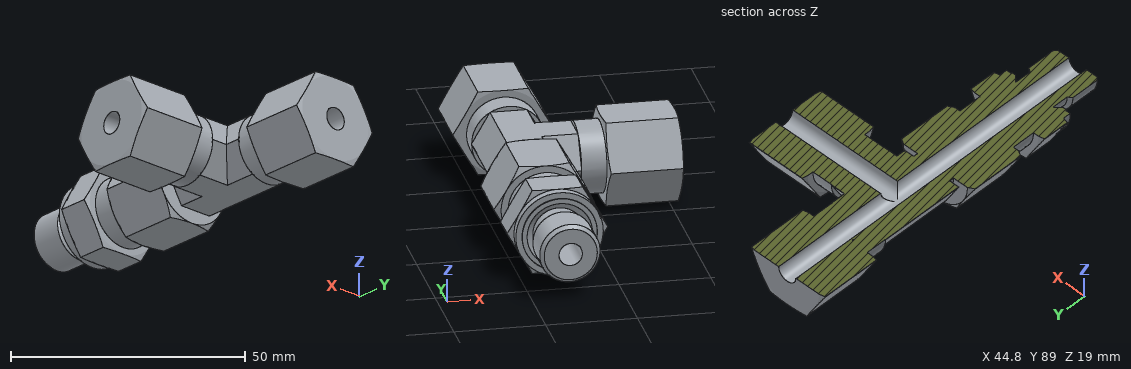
import cadquery as cq
import math


nut_flats = 19.0
collar_diameter = 16.0
body_flats = 14.0
neck_diameter = 10.85
relief_diameter = 11.1
thread_diameter = 13.2
flange_diameter = nut_flats
seal_diameter = 16.4
recess_diameter = 14.2
bore_diameter = 5.1

shallow_angle = 12
steep_angle = 30

port_body_end = 11.9
port_nut_start = 17.4
port_end = 33.8

body_bottom = -10.5
swivel_top = -11.6
swivel_bottom = -27.3
adapter_top = -33.4
adapter_bottom = -41.1
flange_face = -43.1
seal_height = 0.3
seal_face = flange_face - seal_height
recess_depth = (recess_diameter - relief_diameter) / 2
relief_end = -46.2
thread_start = -46.9
run_end = -55.15
thread_chamfer = 0.8


def cylinder(diameter, start, end):
    """Round bar along Y between two positions, start below end."""
    return cq.Workplane("XZ", origin=(0, end, 0)).circle(diameter / 2).extrude(end - start)


def turned(points):
    """Solid of revolution about the Y axis from (radius, y) points."""
    return cq.Workplane("XY").polyline(points).close().revolve(360, (0, 0), (0, 1))


def hexagon(flats, start, end):
    """Hexagonal bar along Y with two flats facing up and down."""
    corner_diameter = flats / math.cos(math.pi / 6)
    return cq.Workplane("XZ", origin=(0, end, 0)).polygon(6, corner_diameter).extrude(end - start)


def chamfered_hexagon(start, end, angle):
    """Nut-sized hexagon with its corners turned to a cone at both ends."""
    face_radius = nut_flats / 2
    outer_radius = nut_flats
    drop = (outer_radius - face_radius) * math.tan(math.radians(angle))
    envelope_low = turned([(0, start), (face_radius, start), (outer_radius, start + drop),
                           (outer_radius, end), (0, end)])
    envelope_high = turned([(0, start), (outer_radius, start), (outer_radius, end - drop),
                            (face_radius, end), (0, end)])
    return hexagon(nut_flats, start, end).intersect(envelope_low).intersect(envelope_high)


def port():
    """Body arm, collar and nut of one tube port, pointing along +Y."""
    arm = hexagon(body_flats, 0, port_body_end)
    collar = cylinder(collar_diameter, port_body_end, port_nut_start)
    nut = chamfered_hexagon(port_nut_start, port_end, shallow_angle)
    return arm.union(collar).union(nut)


def swivel_side():
    """Lower body arm, neck, swivel nut and the collar below it."""
    arm = hexagon(body_flats, body_bottom, 0)
    neck = cylinder(neck_diameter, swivel_top, body_bottom)
    nut = chamfered_hexagon(swivel_bottom, swivel_top, steep_angle)
    collar = cylinder(collar_diameter, adapter_top, swivel_bottom)
    return arm.union(neck).union(nut).union(collar)


def threaded_adapter():
    """Adapter hexagon, sealing flange with conical recess, thread relief and threaded end."""
    flange_radius = flange_diameter / 2
    seal_radius = seal_diameter / 2
    recess_radius = recess_diameter / 2
    relief_radius = relief_diameter / 2
    thread_radius = thread_diameter / 2
    spigot = turned([
        (0, adapter_bottom),
        (flange_radius, adapter_bottom),
        (flange_radius, flange_face),
        (seal_radius, flange_face),
        (seal_radius, seal_face),
        (recess_radius, seal_face),
        (relief_radius, seal_face + recess_depth),
        (relief_radius, relief_end),
        (thread_radius, thread_start),
        (thread_radius, run_end + thread_chamfer),
        (thread_radius - thread_chamfer, run_end),
        (0, run_end),
    ])
    return chamfered_hexagon(adapter_bottom, adapter_top, shallow_angle).union(spigot)


def to_branch(shape):
    """Turn a shape from the +Y direction to the +X direction."""
    return shape.rotate((0, 0, 0), (0, 0, 1), -90)


run_bore = cylinder(bore_diameter, run_end, port_end)
branch_bore = to_branch(cylinder(bore_diameter, 0, port_end))

tee = port().union(to_branch(port())).union(swivel_side()).union(threaded_adapter())
result = tee.cut(run_bore).cut(branch_bore)